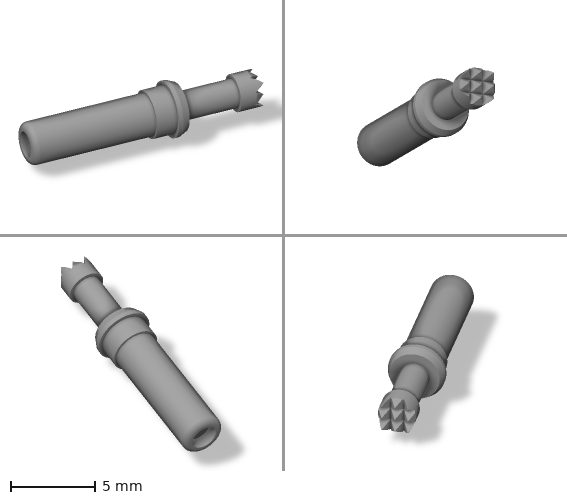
import cadquery as cq
import math

total_length = 15.1
barrel_diameter = 2.66
barrel_length = 7.88
barrel_end_fillet = 0.4
sleeve_diameter = 2.99
sleeve_length = 1.31
flange_diameter = 3.5
flange_rim_length = 0.29
flange_cone_length = 0.5
flange_cone_end_diameter = 3.05
plunger_diameter = 1.8
crown_diameter = 2.31
crown_length = 1.6
bore_diameter = 1.62
bore_depth = 0.75

teeth_per_row = 3
tooth_pitch = 0.8
groove_half_angle = math.radians(30)

sleeve_start = barrel_length
flange_start = sleeve_start + sleeve_length
cone_start = flange_start + flange_rim_length
flange_end = cone_start + flange_cone_length
crown_start = total_length - crown_length


def make_body():
    """Turned outer shape, revolved about the Y axis."""
    profile = (
        cq.Workplane("XY")
        .lineTo(barrel_diameter / 2, 0)
        .lineTo(barrel_diameter / 2, sleeve_start)
        .lineTo(sleeve_diameter / 2, sleeve_start)
        .lineTo(sleeve_diameter / 2, flange_start)
        .lineTo(flange_diameter / 2, flange_start)
        .lineTo(flange_diameter / 2, cone_start)
        .lineTo(flange_cone_end_diameter / 2, flange_end)
        .lineTo(plunger_diameter / 2, flange_end)
        .lineTo(plunger_diameter / 2, crown_start)
        .lineTo(crown_diameter / 2, crown_start)
        .lineTo(crown_diameter / 2, total_length)
        .lineTo(0, total_length)
        .close()
    )
    body = profile.revolve(360, (0, 0, 0), (0, 1, 0))
    return body.faces("<Y").edges().fillet(barrel_end_fillet)


def make_bore():
    """Blind round hole entering the barrel end."""
    return cq.Workplane("XZ").circle(bore_diameter / 2).extrude(-bore_depth)


def make_groove(offset):
    """V groove running along Z, with its root at x = offset."""
    half_width = tooth_pitch / 2
    depth = half_width / math.tan(groove_half_angle)
    return (
        cq.Workplane("XY")
        .moveTo(offset - half_width, total_length)
        .lineTo(offset, total_length - depth)
        .lineTo(offset + half_width, total_length)
        .close()
        .extrude(crown_diameter, both=True)
    )


def cut_teeth(body):
    """Cross the crown with grooves along Z and along X to leave pointed teeth."""
    for index in range(teeth_per_row + 1):
        offset = (index - teeth_per_row / 2) * tooth_pitch
        groove = make_groove(offset)
        body = body.cut(groove)
        body = body.cut(groove.rotate((0, 0, 0), (0, 1, 0), 90))
    return body


result = cut_teeth(make_body().cut(make_bore()))